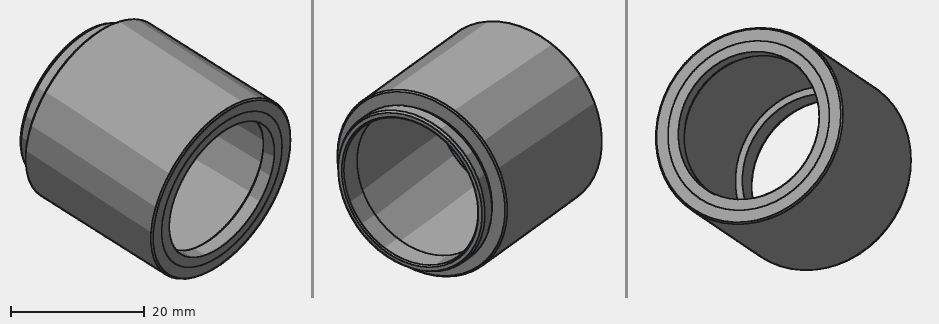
import cadquery as cq

tube_diameter = 30.48
total_length = 29.2
outer_chamfer = 0.25

spigot_diameter = 26.27
spigot_length = 2.3
spigot_chamfer_length = 0.43
neck_diameter = 25.4
barrel_start = 3.05

lip_bore_diameter = 24.02
lip_length = 3.8
wide_bore_diameter = spigot_diameter
bore_chamfer = 0.25

ring_bore_diameter = 22.92
ring_length = 2.5


def revolve_about_x(profile):
    """Turn a closed (x, radius) outline into a solid around the X axis."""
    return cq.Workplane("XY").polyline(profile).close().revolve(360, (0, 0, 0), (1, 0, 0))


def make_tube():
    """Tube with a chamfered spigot, a relief neck and a stepped bore."""
    tube_radius = tube_diameter / 2
    spigot_radius = spigot_diameter / 2
    neck_radius = neck_diameter / 2
    lip_radius = lip_bore_diameter / 2
    wide_radius = wide_bore_diameter / 2
    return revolve_about_x([
        (0, lip_radius + bore_chamfer),
        (0, spigot_radius - outer_chamfer),
        (spigot_chamfer_length, spigot_radius),
        (spigot_length, spigot_radius),
        (spigot_length, neck_radius),
        (barrel_start, neck_radius),
        (barrel_start, tube_radius - outer_chamfer),
        (barrel_start + outer_chamfer, tube_radius),
        (total_length - outer_chamfer, tube_radius),
        (total_length, tube_radius - outer_chamfer),
        (total_length, wide_radius),
        (lip_length, wide_radius),
        (lip_length, lip_radius),
        (bore_chamfer, lip_radius),
    ])


def make_retaining_ring():
    """Ring that fits the wide bore, chamfered at the -X edge of its hole."""
    outer_radius = wide_bore_diameter / 2
    inner_radius = ring_bore_diameter / 2
    ring_start = total_length - ring_length
    return revolve_about_x([
        (ring_start, inner_radius + bore_chamfer),
        (ring_start, outer_radius),
        (total_length, outer_radius),
        (total_length, inner_radius),
        (ring_start + bore_chamfer, inner_radius),
    ])


tube = make_tube()
retaining_ring = make_retaining_ring()

result = cq.Compound.makeCompound([tube.val(), retaining_ring.val()])